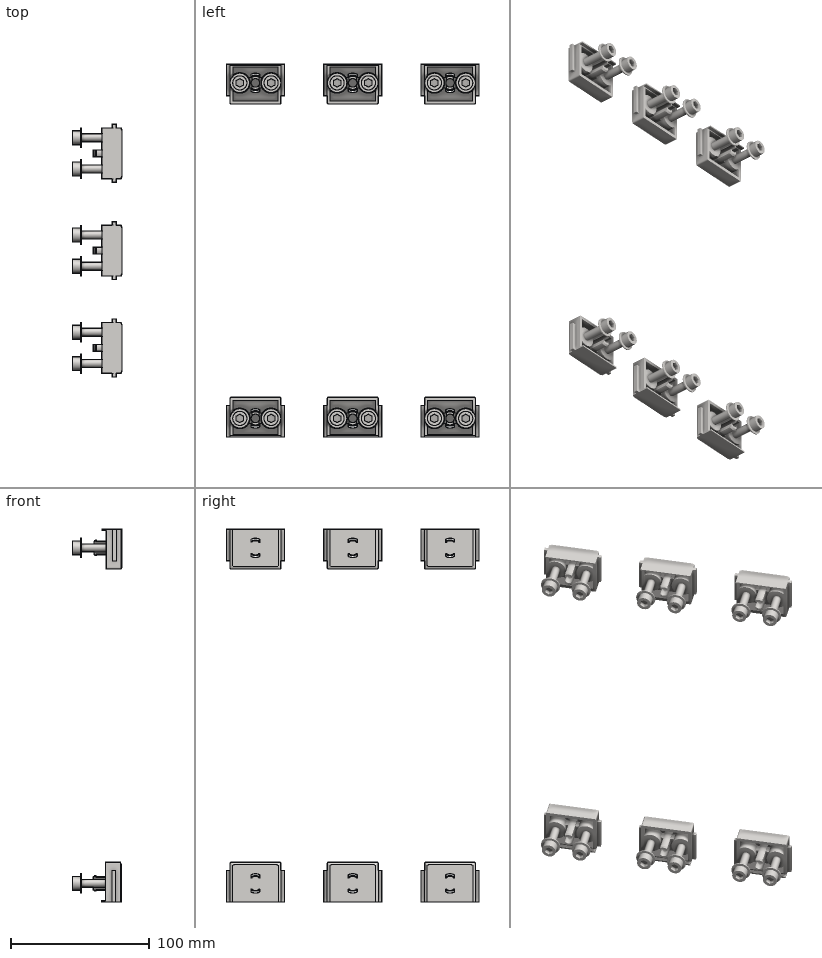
import cadquery as cq
import math

TOTAL_HEIGHT = 268.5
COLUMN_COUNT = 3
COLUMN_PITCH = 70.0
UPPER_ROW_OFFSET = 0.5

HOUSING_FRONT = 24.0
HOUSING_DEPTH = 11.5
HOUSING_WIDTH = 36.8
HOUSING_HEIGHT = 28.7
CORNER_RADIUS = 1.0
BACK_CHAMFER_DEPTH = 0.8
BACK_CHAMFER_WIDTH = 2.0
HOUSING_BACK = HOUSING_FRONT + HOUSING_DEPTH

SIDE_WALL = 2.1
LIP_WALL = 2.0
FAR_WALL = 2.5
CAVITY_DEPTH = 8.5
FLOOR_X = HOUSING_FRONT + CAVITY_DEPTH

LIP_LENGTH = 3.0
LIP_THICKNESS = 1.0

TOTAL_WIDTH = 41.9
RIB_THICKNESS = 2.7
RIB_SETBACK = 4.5
RIB_START = HOUSING_FRONT + RIB_SETBACK
RIB_HEIGHT = 22.8

AXIS_HEIGHT = 13.5
SCREW_PITCH = 22.5
SCREW_POSITIONS = (-SCREW_PITCH / 2, SCREW_PITCH / 2)
HEAD_DIAMETER = 10.2
HEAD_LENGTH = 6.0
FLANGE_DIAMETER = 14.0
FLANGE_THICKNESS = 0.8
SHAFT_DIAMETER = 6.0
SOCKET_FLATS = 5.5
SOCKET_SIDES = 6
SOCKET_DEPTH = 3.2

BOSS_DIAMETER = 14.8
BOSS_HEIGHT = 8.3

WEB_HEIGHT = 7.5
WEB_DEPTH = 5.5

PRONG_BORE = 6.2
PRONG_DIAMETER = 10.2
PRONG_WIDTH = 5.0
HOOK_DIAMETER = 11.3
HOOK_TIP_DIAMETER = 9.5
HOOK_RAMP = 1.0
HOOK_LENGTH = 2.0
PRONG_TIP_X = 15.0
HOOK_CREST_START = PRONG_TIP_X + HOOK_RAMP
HOOK_END = PRONG_TIP_X + HOOK_LENGTH

WINDOW_DIAMETER = 13.7
WINDOW_WIDTH = 6.2


def box(x_start, x_end, width, z_start, z_end):
    """Box centred on Y = 0."""
    size = (x_end - x_start, width, z_end - z_start)
    return cq.Workplane("XY").box(*size, centered=(False, True, False)).translate((x_start, 0, z_start))


def cylinder(x_start, x_end, diameter, y=0.0):
    """Cylinder along X on the common axis height."""
    plane = cq.Workplane("YZ", origin=(x_start, y, AXIS_HEIGHT))
    return plane.circle(diameter / 2).extrude(x_end - x_start)


def back_outline(inset):
    """Housing outline in the YZ plane, drawn in from the side and far walls by an inset."""
    half_width = HOUSING_WIDTH / 2 - inset
    top = HOUSING_HEIGHT - inset
    radius = CORNER_RADIUS
    bend = radius * (1 - math.sqrt(0.5))
    return (
        cq.Workplane("YZ")
        .moveTo(-half_width, 0)
        .lineTo(half_width, 0)
        .lineTo(half_width, top - radius)
        .threePointArc((half_width - bend, top - bend), (half_width - radius, top))
        .lineTo(radius - half_width, top)
        .threePointArc((bend - half_width, top - bend), (-half_width, top - radius))
        .close()
    )


def make_shell():
    """Tray with rounded far corners, bevelled back, lip and guide ribs."""
    bevel_start = HOUSING_BACK - BACK_CHAMFER_DEPTH
    front_wire = back_outline(0).val().translate((bevel_start, 0, 0))
    back_wire = back_outline(BACK_CHAMFER_WIDTH).val().translate((HOUSING_BACK, 0, 0))
    bevel = cq.Workplane(obj=cq.Solid.makeLoft([front_wire, back_wire], True))
    block = back_outline(0).extrude(bevel_start - HOUSING_FRONT).translate((HOUSING_FRONT, 0, 0))
    cavity_width = HOUSING_WIDTH - 2 * SIDE_WALL
    cavity = box(HOUSING_FRONT, FLOOR_X, cavity_width, LIP_WALL, HOUSING_HEIGHT - FAR_WALL)
    lip = box(HOUSING_FRONT - LIP_LENGTH, HOUSING_FRONT, HOUSING_WIDTH, 0, LIP_THICKNESS)
    ribs = box(RIB_START, RIB_START + RIB_THICKNESS, TOTAL_WIDTH, 0, RIB_HEIGHT)
    return block.union(bevel).union(ribs).cut(cavity).union(lip)


def make_screw(y, floor_x):
    """Flanged socket-head screw reaching to the tray floor."""
    flange_end = HEAD_LENGTH + FLANGE_THICKNESS
    socket = (
        cq.Workplane("YZ", origin=(0, y, AXIS_HEIGHT))
        .transformed(rotate=(0, 0, 90))
        .polygon(SOCKET_SIDES, SOCKET_FLATS / math.cos(math.pi / SOCKET_SIDES))
        .extrude(SOCKET_DEPTH)
    )
    return (
        cylinder(0, HEAD_LENGTH, HEAD_DIAMETER, y)
        .union(cylinder(HEAD_LENGTH, flange_end, FLANGE_DIAMETER, y))
        .union(cylinder(flange_end, floor_x, SHAFT_DIAMETER, y))
        .cut(socket)
    )


def make_bosses():
    """Two screw bosses, trimmed by the side walls, and the bored web that joins them."""
    web_bottom = AXIS_HEIGHT - WEB_HEIGHT / 2
    bosses = box(FLOOR_X - WEB_DEPTH, FLOOR_X, SCREW_PITCH, web_bottom, web_bottom + WEB_HEIGHT)
    bosses = bosses.cut(cylinder(FLOOR_X - WEB_DEPTH, FLOOR_X, PRONG_BORE))
    for y in SCREW_POSITIONS:
        bosses = bosses.union(cylinder(FLOOR_X - BOSS_HEIGHT, FLOOR_X, BOSS_DIAMETER, y))
    return bosses.intersect(box(HOUSING_FRONT, HOUSING_BACK, HOUSING_WIDTH - SIDE_WALL, 0, HOUSING_HEIGHT))


def make_prongs():
    """Pair of hooked snap prongs, cut from one turned sleeve."""
    axis_plane = cq.Workplane("XY", origin=(0, 0, AXIS_HEIGHT))
    sleeve = (
        axis_plane.moveTo(PRONG_TIP_X, PRONG_BORE / 2)
        .lineTo(PRONG_TIP_X, HOOK_TIP_DIAMETER / 2)
        .lineTo(HOOK_CREST_START, HOOK_DIAMETER / 2)
        .lineTo(HOOK_END, HOOK_DIAMETER / 2)
        .lineTo(HOOK_END, PRONG_DIAMETER / 2)
        .lineTo(FLOOR_X, PRONG_DIAMETER / 2)
        .lineTo(FLOOR_X, PRONG_BORE / 2)
        .close()
        .revolve(360, (0, 0, 0), (1, 0, 0))
    )
    return sleeve.intersect(box(PRONG_TIP_X, FLOOR_X, PRONG_WIDTH, 0, HOUSING_HEIGHT))


def make_windows():
    """Through openings in the floor beyond both prongs, in line with the hooks."""
    disc = cylinder(FLOOR_X, HOUSING_BACK, WINDOW_DIAMETER)
    core = cylinder(FLOOR_X, HOUSING_BACK, PRONG_DIAMETER)
    return disc.cut(core).intersect(box(FLOOR_X, HOUSING_BACK, WINDOW_WIDTH, 0, HOUSING_HEIGHT))


def make_connector(housing_offset):
    """One connector; the offset moves everything but the screws along X."""
    connector = make_shell().union(make_bosses()).cut(make_windows()).union(make_prongs())
    connector = connector.translate((housing_offset, 0, 0))
    for y in SCREW_POSITIONS:
        connector = connector.union(make_screw(y, FLOOR_X + housing_offset))
    return connector.val()


lower_connector = make_connector(0)
upper_connector = make_connector(UPPER_ROW_OFFSET).rotate((0, 0, 0), (1, 0, 0), 180)
upper_connector = upper_connector.translate(cq.Vector(0, 0, TOTAL_HEIGHT))
connectors = []
for column in range(COLUMN_COUNT):
    column_y = (column - (COLUMN_COUNT - 1) / 2) * COLUMN_PITCH
    for connector in (lower_connector, upper_connector):
        connectors.append(connector.translate(cq.Vector(0, column_y, 0)))

result = cq.Compound.makeCompound(connectors)